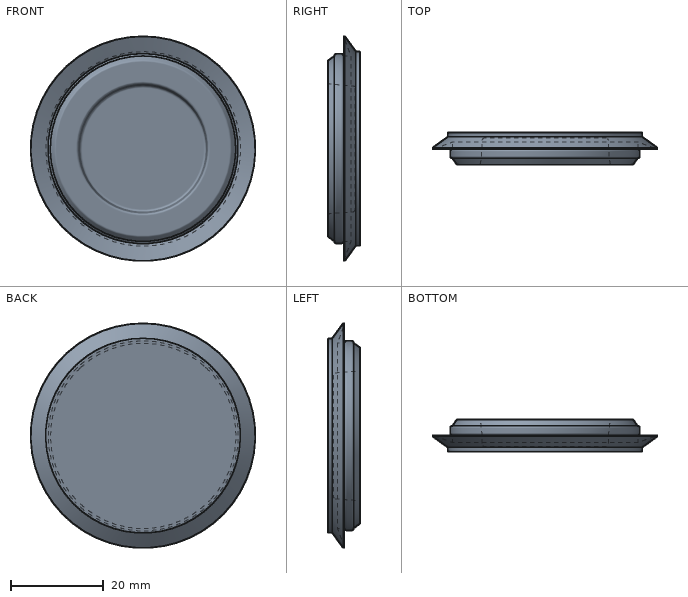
import cadquery as cq

length = 7.0
edge_fillet = 0.5

nose_front_radius = 19.0
nose_back_radius = 20.0
nose_end = 1.4

bead_radius = 20.5
bead_end = 3.4

neck_radius = bead_radius - edge_fillet

head_radius = 21.0
head_start = 6.05
head_fillet = 0.3

lip_radius = 24.25
lip_tip_start = 3.4
lip_tip_width = 0.3
lip_root_start = 4.95

pocket_mouth_radius = 14.0
pocket_floor_radius = 13.57
pocket_depth = 5.8


def turned(points):
    """Revolve a closed outline of (Y, radius) points about the Y axis."""
    return cq.Workplane("YZ").polyline(points).close().revolve(360, (0, 0), (1, 0))


def frustum(start, end, start_radius, end_radius):
    """Solid cone section along Y; equal radii give a cylinder."""
    return turned([(start, 0), (start, start_radius), (end, end_radius), (end, 0)])


def make_nose():
    return frustum(0, nose_end, nose_front_radius, nose_back_radius)


def make_bead():
    bead = frustum(nose_end, bead_end, bead_radius, bead_radius)
    return bead.faces("<Y or >Y").edges().fillet(edge_fillet)


def make_neck():
    return frustum(bead_end, head_start, neck_radius, neck_radius)


def make_head():
    head = frustum(head_start, length, head_radius, head_radius)
    return head.faces(">Y").edges().fillet(head_fillet)


def make_lip():
    return turned([
        (lip_root_start, neck_radius),
        (lip_tip_start, lip_radius),
        (lip_tip_start + lip_tip_width, lip_radius),
        (head_start, head_radius),
        (head_start, neck_radius),
    ])


def make_pocket():
    pocket = frustum(0, pocket_depth, pocket_mouth_radius, pocket_floor_radius)
    return pocket.faces(">Y").edges().fillet(edge_fillet)


body = make_nose().union(make_bead()).union(make_neck()).union(make_head()).union(make_lip())
body = body.cut(make_pocket())

result = body.faces("<Y").edges().fillet(edge_fillet)